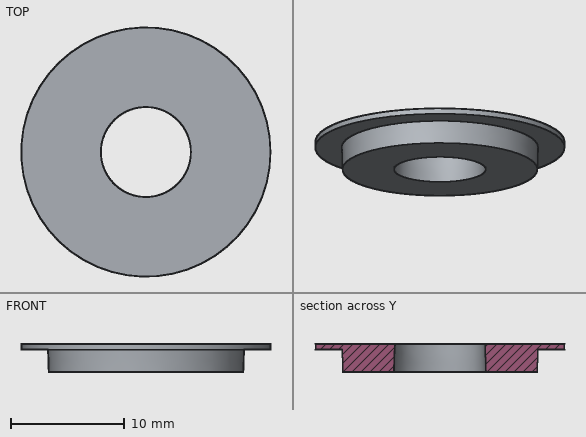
import cadquery as cq

flange_diameter = 21.98
total_height = 2.5
flange_thickness = 0.5
hub_top_diameter = 17.32
hub_bottom_diameter = 17.19
bore_top_diameter = 7.91
bore_bottom_diameter = 8.09

flange_radius = flange_diameter / 2
hub_top_radius = hub_top_diameter / 2
hub_bottom_radius = hub_bottom_diameter / 2
bore_top_radius = bore_top_diameter / 2
bore_bottom_radius = bore_bottom_diameter / 2
flange_underside = total_height - flange_thickness

half_section = (
    cq.Workplane("XZ")
    .moveTo(bore_bottom_radius, 0)
    .lineTo(hub_bottom_radius, 0)
    .lineTo(hub_top_radius, flange_underside)
    .lineTo(flange_radius, flange_underside)
    .lineTo(flange_radius, total_height)
    .lineTo(bore_top_radius, total_height)
    .close()
)

result = half_section.revolve(360, (0, 0, 0), (0, 1, 0))